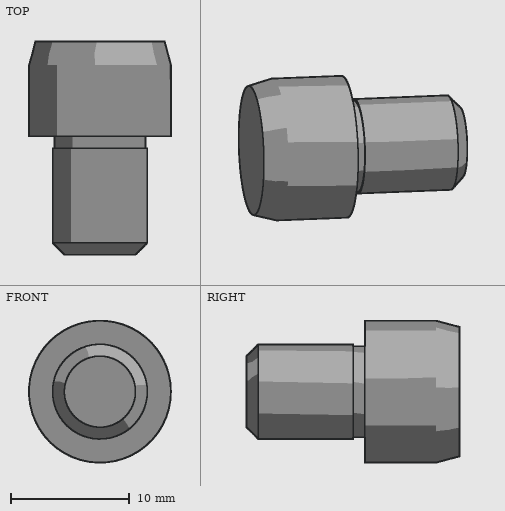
import cadquery as cq
import math


head_diameter = 12.0
head_length = 8.0
lead_in_length = 2.0
lead_in_angle = 15.0

shank_diameter = 8.0
shank_length = 10.0
tip_chamfer = 1.0

relief_diameter = 7.7
relief_width = 1.0

head_radius = head_diameter / 2
head_end_radius = head_radius - lead_in_length * math.tan(math.radians(lead_in_angle))
shank_radius = shank_diameter / 2
tip_radius = shank_radius - tip_chamfer
relief_radius = relief_diameter / 2


def make_pin():
    """Revolve the half profile, drawn as (radius, Y), about the Y axis."""
    profile = [
        (0, -shank_length),
        (tip_radius, -shank_length),
        (shank_radius, -shank_length + tip_chamfer),
        (shank_radius, -relief_width),
        (relief_radius, -relief_width),
        (relief_radius, 0),
        (head_radius, 0),
        (head_radius, head_length - lead_in_length),
        (head_end_radius, head_length),
        (0, head_length),
    ]
    full_turn = 360
    return (
        cq.Workplane("XY")
        .polyline(profile)
        .close()
        .revolve(full_turn, (0, 0, 0), (0, 1, 0))
    )


result = make_pin()